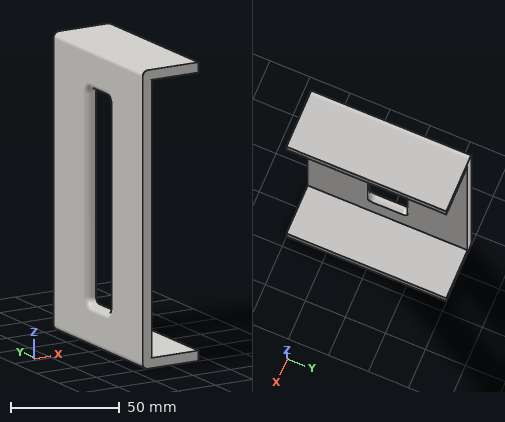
import cadquery as cq

height = 142.5
width = 80.0
depth = 30.0
thickness = 5.0
edge_radius = 3.0

slot_width = 20.0
slot_height = 103.0
slot_corner_radius = 3.0
slot_rim_radius = 3.0


def make_channel():
    """C-shaped channel with rounded outer bends and sharp inner corners."""
    outer = cq.Workplane("XY").box(depth, width, height, centered=(False, True, True))
    outer = outer.edges("<X and |Y").fillet(edge_radius)
    inner = (
        cq.Workplane("XY")
        .box(depth, width, height - 2 * thickness, centered=(False, True, True))
        .translate((thickness, 0, 0))
    )
    return outer.cut(inner)


def make_slot_cutter():
    """Round-cornered slot running straight through the web."""
    return (
        cq.Workplane("XY")
        .box(thickness, slot_width, slot_height, centered=(False, True, True))
        .edges("|X")
        .fillet(slot_corner_radius)
    )


def round_slot_rim(body):
    """Round the slot's edge on the outer face of the web."""
    rim = body.faces("<X").wires(cq.selectors.LengthNthSelector(0))
    return body.newObject(rim.edges().vals()).fillet(slot_rim_radius)


result = round_slot_rim(make_channel().cut(make_slot_cutter()))